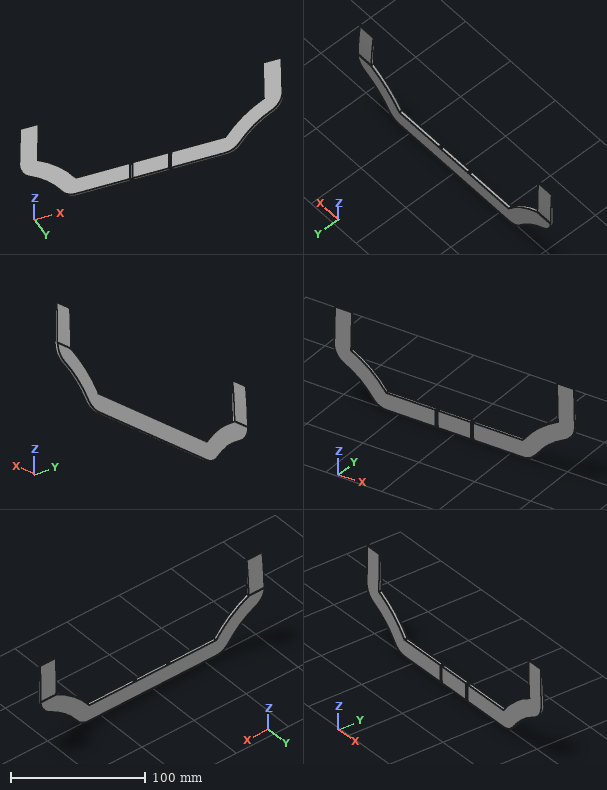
import cadquery as cq
import math

length = 215.0
height = 75.0
thickness = 3.0
band_width = 15.0

arm_corner_x = length / 2 - band_width
arm_corner_z = 41.5
arm_lean = 0.75
base_corner_x = 60.9
shoulder_radius = 86.0

tip_step = 0.32
tip_thickness = 1.3

groove_spacing = 31.8
groove_width = 2.2
groove_depth = 1.3
groove_end_chamfer = 0.6


def shoulder_center():
    """Center of the shoulder arcs, below the chord between the inner corners."""
    chord_x = arm_corner_x - base_corner_x
    chord_z = arm_corner_z - band_width
    chord = math.hypot(chord_x, chord_z)
    reach = math.sqrt(shoulder_radius**2 - (chord / 2) ** 2)
    center_x = (arm_corner_x + base_corner_x) / 2 + reach * chord_z / chord
    center_z = (arm_corner_z + band_width) / 2 - reach * chord_x / chord
    return center_x, center_z


def polar(center, radius, angle):
    return center[0] + radius * math.cos(angle), center[1] + radius * math.sin(angle)


def half_band():
    """Right half of the band; the outer edge runs one band width from the inner edge."""
    center = shoulder_center()
    arm_corner = (arm_corner_x, arm_corner_z)
    base_corner = (base_corner_x, band_width)
    arm_angle = math.atan2(arm_corner_z - center[1], arm_corner_x - center[0])
    base_angle = math.atan2(band_width - center[1], base_corner_x - center[0])
    middle_angle = (arm_angle + base_angle) / 2
    outer_radius = shoulder_radius - band_width
    base_round_angle = (base_angle - math.pi - math.pi / 2) / 2
    arm_round_angle = (arm_angle - math.pi) / 2
    profile = (
        cq.Workplane("XZ")
        .moveTo(0, 0)
        .lineTo(base_corner_x, 0)
        .threePointArc(
            polar(base_corner, band_width, base_round_angle),
            polar(center, outer_radius, base_angle),
        )
        .threePointArc(
            polar(center, outer_radius, middle_angle),
            polar(center, outer_radius, arm_angle),
        )
        .threePointArc(
            polar(arm_corner, band_width, arm_round_angle),
            (length / 2, arm_corner_z),
        )
        .lineTo(length / 2 - arm_lean, height)
        .lineTo(arm_corner_x - arm_lean, height)
        .lineTo(*arm_corner)
        .threePointArc(polar(center, shoulder_radius, middle_angle), base_corner)
        .lineTo(0, band_width)
        .close()
    )
    return profile.extrude(-thickness)


def tip_relief():
    """Material behind the arms, bounded by an arc that starts parallel to the back face."""
    root_thickness = thickness - tip_step
    rise = height - arm_corner_z
    drop = root_thickness - tip_thickness
    radius = (rise**2 + drop**2) / (2 * drop)
    half_sweep = math.atan2(rise, radius - drop) / 2
    middle = polar((root_thickness - radius, arm_corner_z), radius, half_sweep)
    return (
        cq.Workplane("YZ", origin=(-length / 2, 0, 0))
        .moveTo(thickness, arm_corner_z)
        .lineTo(root_thickness, arm_corner_z)
        .threePointArc(middle, (tip_thickness, height))
        .lineTo(thickness, height)
        .close()
        .extrude(length)
    )


def groove(x):
    """Groove across the band whose floor slopes deeper next to both edges."""
    end_depth = groove_depth + groove_end_chamfer
    return (
        cq.Workplane("YZ", origin=(x - groove_width / 2, 0, 0))
        .moveTo(0, 0)
        .lineTo(end_depth, 0)
        .lineTo(groove_depth, groove_end_chamfer)
        .lineTo(groove_depth, band_width - groove_end_chamfer)
        .lineTo(end_depth, band_width)
        .lineTo(0, band_width)
        .close()
        .extrude(groove_width)
    )


right_half = half_band()
result = right_half.union(right_half.mirror("YZ")).clean()
result = result.cut(tip_relief())
for side in (-1, 1):
    result = result.cut(groove(side * groove_spacing / 2))